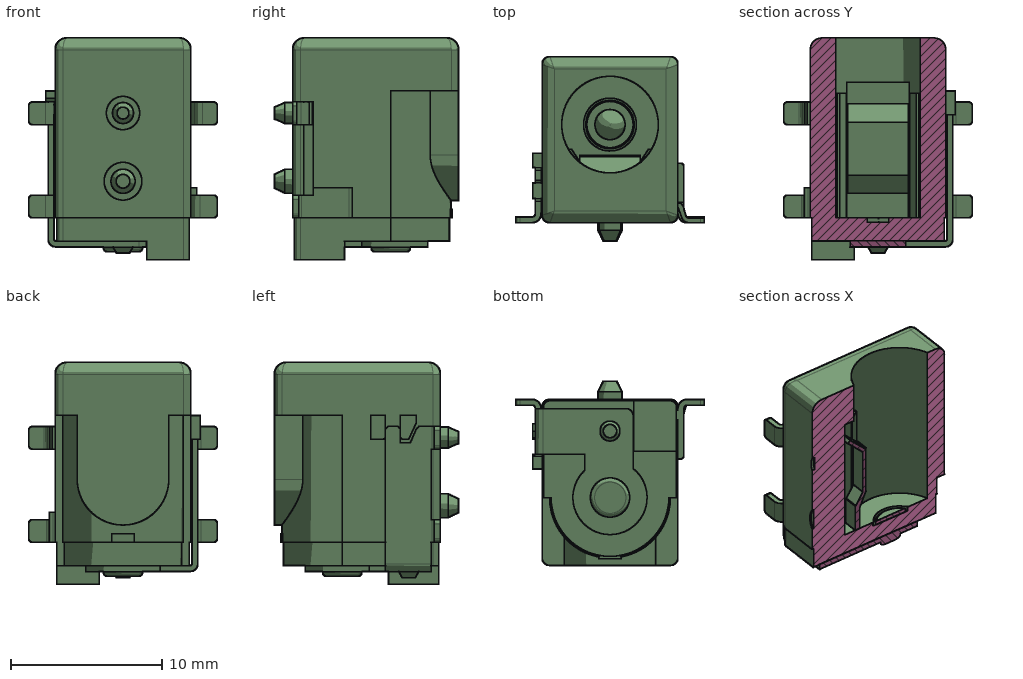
import cadquery as cq
import math


HEIGHT = 14.7
HALF_WIDTH = 4.5
DEPTH = 11.0
TOP_ROUND = 0.8
CORNER_ROUND = 0.5
HEAD_BOTTOM = 11.19
BLOCK_BOTTOM = 2.78
BASE_BOTTOM = 1.25
BASE_INSET = 0.1
AXIS_Y = 6.5
REAR_RADIUS = 4.0
RIB_HALF_WIDTH = 3.03
RIB_CENTER_Z = 6.95
LIP_DEPTH = 0.06
LIP_WIDTH = 1.47
LIP_HEIGHT = 0.57
FOOT_LEFT = 1.56
FOOT_BACK = 3.44

BORE_DIAMETER = 6.4
BORE_FLOOR = 2.8
COLLAR_RECESS_DIAMETER = 3.5
COLLAR_HEIGHT = 0.3
RAIL_OUTLINE = [(2.07, 4.15), (2.1, 3.97), (2.82, 4.79), (2.7, 4.87), (2.55, 4.87)]
RAIL_TOP = 11.02

POST_LENGTH = 1.2
POST_SHOULDER = 0.5
POSTS = [
    (9.72, 1.4, 0.8, 2.2, 0.2),
    (5.2, 1.6, 0.91, 2.5, 0.1),
]
HOOK_REACH = 0.62
HOOK_BOTTOM = 9.6
FRONT_HOOK_FRONT = 1.6
FRONT_HOOK_BACK = 2.65
FRONT_HOOK_SLOPE_TOP = 10.69
FRONT_HOOK_TIP = 2.1
HOOK_CHAMFER = 0.12
REAR_HOOK_WIDTH = 0.97
PEG_Y = 2.1
PEG_DIAMETER = 1.32
PEG_TIP_DIAMETER = 0.88
PEG_TIP_HEIGHT = 0.4

SHEET = 0.4
BEND_INNER = 0.19
BEND_OUTER = BEND_INNER + SHEET
FOOT_END = 6.25
FOOT_ROUND = 0.26
LEG_WIDTH = 1.51
LOWER_LEG_BOTTOM = BLOCK_BOTTOM
UPPER_LEG_BOTTOM = 8.94
UPPER_LEG_TOP = UPPER_LEG_BOTTOM + LEG_WIDTH

PLATE_OUTER = 4.95
PLATE_INNER = PLATE_OUTER - SHEET
PLATE_FRONT = 0.62
PLATE_BACK = 3.65
PLATE_CHAMFER = 0.18
NOTCH_BOTTOM = 9.36
NOTCH_TIP = 2.0
PLATE_BOTTOM = BASE_BOTTOM - SHEET
PLATE_BEND = 0.5
PLATE_BEND_INNER = PLATE_BEND - SHEET
PLATE_END = 1.53
PLATE_END_ROUND = 0.47
EYE_RADIUS = 2.45
NECK_HALF_WIDTH = 1.68
PIN_DIAMETER = 2.0
PIN_TOP = 13.3
PIN_TIP_FLAT = 0.001
COLLAR_DIAMETER = 3.2
COLLAR_CHAMFER = 0.07
RIVET_DIAMETER = 2.6
RIVET_HEIGHT = 0.32
RIVET_ROUND = 0.26

SIDE_PLATE_OUTER = HALF_WIDTH + SHEET
SIDE_PLATE_TOP = 4.78
SIDE_PLATE_FRONT = 1.37
SIDE_PLATE_BACK = 3.95
SIDE_PLATE_ROUND = 0.24
SPRING_SHEET = 0.3
RISER_FRONT = 0.74
RISER_BACK = 1.37
LEAN_FRONT = 1.03
LEAN_BACK = 1.31
LEAN_OUTER_END = (4.7, 0.47)
OUTER_BEND_MIDDLE = (4.88, 0.15)
INNER_BEND_MIDDLE = (5.09, 0.38)
LEAN_INNER_END = (5.0, 0.56)
LEAN_INNER_START = (4.85, 1.1)
LEAN_SHOULDER = 4.67
UPPER_FOOT_BEND = 5.25
LEAF_HALF_WIDTH = 2.01
POCKET_CLEARANCE = 0.06
POCKET_FRONT = 2.72
POCKET_BACK = 4.5
POCKET_TOP = 11.76
LEAF_OUTLINE = [
    (3.56, 4.41),
    (3.95, 4.41),
    (4.48, 5.59),
    (4.48, 9.11),
    (4.38, 9.11),
    (3.16, 10.33),
    (2.95, 10.13),
    (4.19, 8.9),
    (4.19, 5.66),
    (3.56, 4.7),
]


def block(x_min, x_max, y_min, y_max, z_min, z_max):
    """Box given by its limits."""
    size = (x_max - x_min, y_max - y_min, z_max - z_min)
    return cq.Workplane("XY").box(*size, centered=False).translate((x_min, y_min, z_min))


def rod(x, y, z_min, z_max, diameter):
    """Vertical cylinder."""
    return cq.Workplane("XY", origin=(x, y, z_min)).circle(diameter / 2).extrude(z_max - z_min)


def housing_block():
    """Rounded block with the barrel and the rib behind the plug axis, below the head."""
    body = block(-HALF_WIDTH, HALF_WIDTH, 0, DEPTH, BLOCK_BOTTOM, HEIGHT)
    body = body.faces(">Z").edges().fillet(TOP_ROUND)
    body = body.edges("|Z").fillet(CORNER_ROUND)
    body = body.cut(block(-HALF_WIDTH, HALF_WIDTH, AXIS_Y, DEPTH, BLOCK_BOTTOM, HEAD_BOTTOM))
    barrel = rod(0, AXIS_Y, BLOCK_BOTTOM, HEAD_BOTTOM, 2 * REAR_RADIUS)
    rib = (
        cq.Workplane("XZ", origin=(0, DEPTH, 0))
        .moveTo(-RIB_HALF_WIDTH, HEAD_BOTTOM)
        .lineTo(-RIB_HALF_WIDTH, RIB_CENTER_Z)
        .threePointArc((0, RIB_CENTER_Z - RIB_HALF_WIDTH), (RIB_HALF_WIDTH, RIB_CENTER_Z))
        .lineTo(RIB_HALF_WIDTH, HEAD_BOTTOM)
        .close()
        .extrude(DEPTH - AXIS_Y)
    )
    lip_back = AXIS_Y + REAR_RADIUS + LIP_DEPTH
    lip = block(-LIP_WIDTH / 2, LIP_WIDTH / 2, AXIS_Y, lip_back, BLOCK_BOTTOM, BLOCK_BOTTOM + LIP_HEIGHT)
    return body.union(barrel).union(rib).union(lip)


def housing_base():
    """Inset base with the foot at its right front corner."""
    side = HALF_WIDTH - BASE_INSET
    base = block(-side, side, BASE_INSET, AXIS_Y, BASE_BOTTOM, BLOCK_BOTTOM)
    foot = block(FOOT_LEFT, side, BASE_INSET, FOOT_BACK, 0, BASE_BOTTOM)
    corner = CORNER_ROUND - BASE_INSET
    base = base.edges("|Z and <Y").fillet(corner)
    foot = foot.edges("|Z and <Y and >X").fillet(corner)
    barrel = rod(0, AXIS_Y, BASE_BOTTOM, BLOCK_BOTTOM, 2 * (REAR_RADIUS - BASE_INSET))
    return base.union(barrel).union(foot)


def plug_opening():
    """Plug bore without its guide rails, and the recess and hole for the center pin."""
    bore = rod(0, AXIS_Y, BORE_FLOOR, HEIGHT, BORE_DIAMETER)
    rail = cq.Workplane("XY", origin=(0, 0, BORE_FLOOR)).polyline(RAIL_OUTLINE).close()
    rail = rail.extrude(RAIL_TOP - BORE_FLOOR)
    bore = bore.cut(rail).cut(rail.mirror("YZ"))
    recess = rod(0, AXIS_Y, BORE_FLOOR - COLLAR_HEIGHT, BORE_FLOOR, COLLAR_RECESS_DIAMETER)
    pin_hole = rod(0, AXIS_Y, BASE_BOTTOM, BORE_FLOOR, PIN_DIAMETER)
    return bore.union(recess).union(pin_hole)


def locating_post(z, diameter, tip_diameter, recess_depth):
    """Post with a tapered tip, rising from the floor of its recess."""
    half_profile = [
        (0, recess_depth),
        (diameter / 2, recess_depth),
        (diameter / 2, -POST_SHOULDER),
        (tip_diameter / 2, -POST_LENGTH),
        (0, -POST_LENGTH),
    ]
    post = cq.Workplane("XY").polyline(half_profile).close().revolve(360, (0, 0, 0), (0, 1, 0))
    return post.translate((0, 0, z))


def post_recess(z, diameter, depth):
    """Shallow round recess around a locating post."""
    disc = cq.Workplane("XZ", origin=(0, depth, z)).circle(diameter / 2)
    return disc.extrude(depth)


def hooks():
    """Two catches on the left side that hold the center terminal."""
    front_hook = [
        (FRONT_HOOK_BACK, HEAD_BOTTOM),
        (FRONT_HOOK_FRONT, HEAD_BOTTOM),
        (FRONT_HOOK_FRONT, FRONT_HOOK_SLOPE_TOP),
        (FRONT_HOOK_TIP, HOOK_BOTTOM),
        (FRONT_HOOK_BACK - HOOK_CHAMFER, HOOK_BOTTOM),
        (FRONT_HOOK_BACK, HOOK_BOTTOM + HOOK_CHAMFER),
    ]
    rear_hook = [
        (PLATE_BACK, HEAD_BOTTOM),
        (PLATE_BACK + REAR_HOOK_WIDTH, HEAD_BOTTOM),
        (PLATE_BACK + REAR_HOOK_WIDTH, HOOK_BOTTOM),
        (PLATE_BACK + HOOK_CHAMFER, HOOK_BOTTOM),
        (PLATE_BACK, HOOK_BOTTOM + HOOK_CHAMFER),
    ]
    plane = cq.Workplane("YZ", origin=(-HALF_WIDTH - HOOK_REACH, 0, 0))
    return plane.polyline(front_hook).close().polyline(rear_hook).close().extrude(HOOK_REACH)


def staking_peg():
    """Peg under the base that passes through the center terminal and ends in a cone."""
    shank = rod(0, PEG_Y, PLATE_BOTTOM, BASE_BOTTOM, PEG_DIAMETER)
    cone = (
        cq.Workplane("XY", origin=(0, PEG_Y, PLATE_BOTTOM - PEG_TIP_HEIGHT))
        .circle(PEG_TIP_DIAMETER / 2)
        .workplane(offset=PEG_TIP_HEIGHT)
        .circle(PEG_DIAMETER / 2)
        .loft()
    )
    return shank.union(cone)


def spring_pocket():
    """Room for the spring leaf, the slot for its strip and the groove for its riser."""
    half = LEAF_HALF_WIDTH + POCKET_CLEARANCE
    pocket = block(-half, half, POCKET_FRONT, POCKET_BACK, BORE_FLOOR, POCKET_TOP)
    return pocket.union(spring_strip()).union(spring_riser())


def make_housing():
    body = housing_block().union(housing_base()).cut(plug_opening())
    for z, diameter, tip_diameter, recess_diameter, recess_depth in POSTS:
        body = body.cut(post_recess(z, recess_diameter, recess_depth))
        body = body.union(locating_post(z, diameter, tip_diameter, recess_depth))
    return body.union(hooks()).union(staking_peg()).cut(spring_pocket()).solids().val()


def solder_leg(plate_outer, z_bottom):
    """Bent leg on the right that runs down along a plate and turns out into a foot."""
    bend_x = plate_outer + BEND_INNER
    diagonal = math.sqrt(0.5)
    leg = (
        cq.Workplane("XY", origin=(0, 0, z_bottom))
        .moveTo(plate_outer - SHEET, RISER_BACK)
        .lineTo(plate_outer - SHEET, BEND_OUTER)
        .threePointArc(
            (bend_x - BEND_OUTER * diagonal, BEND_OUTER * (1 - diagonal)),
            (bend_x, 0),
        )
        .lineTo(FOOT_END, 0)
        .lineTo(FOOT_END, SHEET)
        .lineTo(bend_x, SHEET)
        .threePointArc(
            (bend_x - BEND_INNER * diagonal, BEND_OUTER - BEND_INNER * diagonal),
            (plate_outer, BEND_OUTER),
        )
        .lineTo(plate_outer, RISER_BACK)
        .close()
        .extrude(LEG_WIDTH)
    )
    return leg.edges("|Y and >X").fillet(FOOT_ROUND)


def upright_plate():
    """Left plate of the center terminal, notched around the front hook."""
    outline = [
        (PLATE_FRONT, PLATE_BOTTOM),
        (PLATE_BACK, PLATE_BOTTOM),
        (PLATE_BACK, UPPER_LEG_TOP - PLATE_CHAMFER),
        (PLATE_BACK - PLATE_CHAMFER, UPPER_LEG_TOP),
        (FRONT_HOOK_BACK + PLATE_CHAMFER, UPPER_LEG_TOP),
        (FRONT_HOOK_BACK, UPPER_LEG_TOP - PLATE_CHAMFER),
        (FRONT_HOOK_BACK, NOTCH_BOTTOM),
        (NOTCH_TIP, NOTCH_BOTTOM),
        (FRONT_HOOK_FRONT, UPPER_LEG_TOP - PLATE_CHAMFER),
        (FRONT_HOOK_FRONT - PLATE_CHAMFER, UPPER_LEG_TOP),
        (PLATE_FRONT, UPPER_LEG_TOP),
    ]
    return cq.Workplane("YZ", origin=(-PLATE_OUTER, 0, 0)).polyline(outline).close().extrude(SHEET)


def bottom_plate():
    """Plate under the base, with a round eye below the center pin."""
    plate = block(-PLATE_OUTER, PLATE_END, PLATE_FRONT, PLATE_BACK, PLATE_BOTTOM, BASE_BOTTOM)
    plate = plate.edges("|Z and >X and <Y").fillet(PLATE_END_ROUND)
    neck = block(-NECK_HALF_WIDTH, PLATE_END, PLATE_BACK, AXIS_Y, PLATE_BOTTOM, BASE_BOTTOM)
    eye = rod(0, AXIS_Y, PLATE_BOTTOM, BASE_BOTTOM, 2 * EYE_RADIUS)
    return plate.union(neck).union(eye)


def center_pin():
    """Round-tipped pin with a collar in the bore and a rivet head under the plate."""
    pin = rod(0, AXIS_Y, PLATE_BOTTOM, PIN_TOP, PIN_DIAMETER)
    pin = pin.faces(">Z").edges().fillet(PIN_DIAMETER / 2 - PIN_TIP_FLAT)
    collar = rod(0, AXIS_Y, BORE_FLOOR - COLLAR_HEIGHT, BORE_FLOOR, COLLAR_DIAMETER)
    collar = collar.faces(">Z").edges().chamfer(COLLAR_CHAMFER)
    rivet = rod(0, AXIS_Y, PLATE_BOTTOM - RIVET_HEIGHT, PLATE_BOTTOM, RIVET_DIAMETER)
    rivet = rivet.faces("<Z").edges().fillet(RIVET_ROUND)
    return pin.union(collar).union(rivet)


def make_center_terminal():
    body = upright_plate().union(bottom_plate())
    body = body.edges("|Y and <X and <Z").fillet(PLATE_BEND)
    inner_corner = (-PLATE_INNER, (PLATE_FRONT + PLATE_BACK) / 2, BASE_BOTTOM)
    inner_edge = cq.selectors.NearestToPointSelector(inner_corner)
    body = body.edges(inner_edge).fillet(PLATE_BEND_INNER)
    body = body.union(center_pin())
    for z in (LOWER_LEG_BOTTOM, UPPER_LEG_BOTTOM):
        body = body.union(solder_leg(PLATE_OUTER, z).mirror("YZ"))
    return body.cut(rod(0, PEG_Y, PLATE_BOTTOM, BASE_BOTTOM, PEG_DIAMETER)).solids().val()


def spring_strip():
    """Strip that enters the housing from the right and carries the leaf."""
    strip_front = SIDE_PLATE_BACK - SHEET
    return block(-LEAF_HALF_WIDTH, HALF_WIDTH, strip_front, SIDE_PLATE_BACK, BORE_FLOOR, SIDE_PLATE_TOP)


def spring_riser():
    """Upright strip, flush with the right side of the housing, up to the upper leg."""
    inner = HALF_WIDTH - SPRING_SHEET
    return block(inner, HALF_WIDTH, RISER_FRONT, RISER_BACK, LOWER_LEG_BOTTOM, UPPER_LEG_TOP)


def spring_upper_leg():
    """Thinner leg that leans out of the riser and turns into a foot."""
    leg = (
        cq.Workplane("XY", origin=(0, 0, UPPER_LEG_BOTTOM))
        .moveTo(HALF_WIDTH, LEAN_FRONT)
        .lineTo(*LEAN_OUTER_END)
        .threePointArc(OUTER_BEND_MIDDLE, (UPPER_FOOT_BEND, 0))
        .lineTo(FOOT_END, 0)
        .lineTo(FOOT_END, SPRING_SHEET)
        .lineTo(UPPER_FOOT_BEND, SPRING_SHEET)
        .threePointArc(INNER_BEND_MIDDLE, LEAN_INNER_END)
        .lineTo(*LEAN_INNER_START)
        .lineTo(LEAN_SHOULDER, LEAN_BACK)
        .lineTo(HALF_WIDTH, LEAN_BACK)
        .close()
        .extrude(LEG_WIDTH)
    )
    return leg.edges("|Y and >X").fillet(FOOT_ROUND)


def make_spring_terminal():
    side_plate = block(
        HALF_WIDTH, SIDE_PLATE_OUTER, SIDE_PLATE_FRONT, SIDE_PLATE_BACK, BLOCK_BOTTOM, SIDE_PLATE_TOP
    )
    side_plate = side_plate.edges("|Z and >X and >Y").fillet(SIDE_PLATE_ROUND)
    leaf = cq.Workplane("YZ", origin=(-LEAF_HALF_WIDTH, 0, 0)).polyline(LEAF_OUTLINE).close()
    leaf = leaf.extrude(2 * LEAF_HALF_WIDTH)
    body = side_plate.union(spring_strip()).union(leaf).union(spring_riser())
    body = body.union(solder_leg(SIDE_PLATE_OUTER, LOWER_LEG_BOTTOM)).union(spring_upper_leg())
    return body.solids().val()


housing = make_housing()
center_terminal = make_center_terminal()
spring_terminal = make_spring_terminal()

result = cq.Compound.makeCompound([housing, center_terminal, spring_terminal])